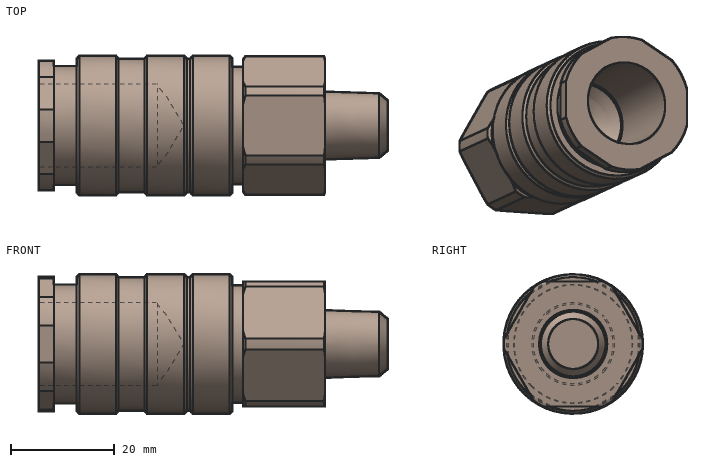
import cadquery as cq
import math

FLANGE_END = 3.0
SLEEVE_START = 7.35
WIDE_GROOVE_START = 15.45
WIDE_GROOVE_END = 20.4
NARROW_GROOVE_START = 28.65
NARROW_GROOVE_END = 29.25
SLEEVE_END = 37.4
HEX_START = 39.45
HEX_END = 55.3
TOTAL_LENGTH = 67.4

SLEEVE_DIA = 27.0
GROOVE_DIA = 25.8
FRONT_NECK_DIA = 23.0
REAR_NECK_DIA = 22.7

BEVEL = 0.55

FLANGE_DIA = 26.0
FLANGE_FLATS = 25.0
HEX_FLATS = 24.15
HEX_CORNER_DIA = 26.8
HEX_BEVEL_DIA = 25.5
HEX_FRONT_BEVEL = 0.5
HEX_REAR_BEVEL = 0.2

STUB_ROOT_DIA = 13.15
STUB_TAPER = 1 / 16
STUB_TIP_DIA = 9.65
STUB_CHAMFER = 1.7

BORE_DIA = 16.0
BORE_DEPTH = 22.9
SEAT_DIA = 15.4
DRILL_DIA = 11.1
SEAT_ANGLE = 100.0
SEAT_DEPTH = (SEAT_DIA - DRILL_DIA) / 2 / math.tan(math.radians(SEAT_ANGLE / 2))
DRILL_POINT_ANGLE = 118.0


def revolve_about_x(stations):
    """Revolve (x, diameter) stations into a solid of revolution about X."""
    profile = [(x, diameter / 2) for x, diameter in stations]
    outline = [(stations[0][0], 0)] + profile + [(stations[-1][0], 0)]
    return cq.Workplane("XY").polyline(outline).close().revolve(360, (0, 0, 0), (1, 0, 0))


def hex_prism(start, end, across_flats):
    """Hexagonal prism along X with two corners on the Y axis."""
    across_corners = across_flats / math.cos(math.radians(30))
    return cq.Workplane("YZ").workplane(offset=start).polygon(6, across_corners).extrude(end - start)


def band(start, end):
    """Stations of one raised sleeve band, bevelled down to groove level at both ends."""
    return [
        (start, GROOVE_DIA),
        (start + BEVEL, SLEEVE_DIA),
        (end - BEVEL, SLEEVE_DIA),
        (end, GROOVE_DIA),
    ]


def make_flange():
    prism = hex_prism(0, FLANGE_END, FLANGE_FLATS).rotate((0, 0, 0), (1, 0, 0), 30)
    disc = revolve_about_x([(0, FLANGE_DIA), (FLANGE_END, FLANGE_DIA)])
    return disc.intersect(prism)


def make_body():
    return revolve_about_x(
        [(0, FRONT_NECK_DIA), (SLEEVE_START, FRONT_NECK_DIA)]
        + band(SLEEVE_START, WIDE_GROOVE_START)
        + band(WIDE_GROOVE_END, NARROW_GROOVE_START)
        + band(NARROW_GROOVE_END, SLEEVE_END)
        + [(SLEEVE_END, REAR_NECK_DIA), (HEX_START, REAR_NECK_DIA)]
    )


def make_wrench_section():
    blank = revolve_about_x([
        (HEX_START, HEX_BEVEL_DIA),
        (HEX_START + HEX_FRONT_BEVEL, HEX_CORNER_DIA),
        (HEX_END - HEX_REAR_BEVEL, HEX_CORNER_DIA),
        (HEX_END, HEX_BEVEL_DIA),
    ])
    return blank.intersect(hex_prism(HEX_START, HEX_END, HEX_FLATS))


def make_stub():
    chamfer_start = TOTAL_LENGTH - STUB_CHAMFER
    chamfer_dia = STUB_ROOT_DIA - STUB_TAPER * (chamfer_start - HEX_END)
    return revolve_about_x([
        (HEX_END, STUB_ROOT_DIA),
        (chamfer_start, chamfer_dia),
        (TOTAL_LENGTH, STUB_TIP_DIA),
    ])


def make_socket():
    seat_end = BORE_DEPTH + SEAT_DEPTH
    point_depth = DRILL_DIA / 2 / math.tan(math.radians(DRILL_POINT_ANGLE / 2))
    outline = [
        (0, 0),
        (0, BORE_DIA / 2),
        (BORE_DEPTH, BORE_DIA / 2),
        (BORE_DEPTH, SEAT_DIA / 2),
        (seat_end, DRILL_DIA / 2),
        (seat_end + point_depth, 0),
    ]
    return cq.Workplane("XY").polyline(outline).close().revolve(360, (0, 0, 0), (1, 0, 0))


solid_part = make_body().union(make_flange()).union(make_wrench_section()).union(make_stub())
result = solid_part.cut(make_socket())